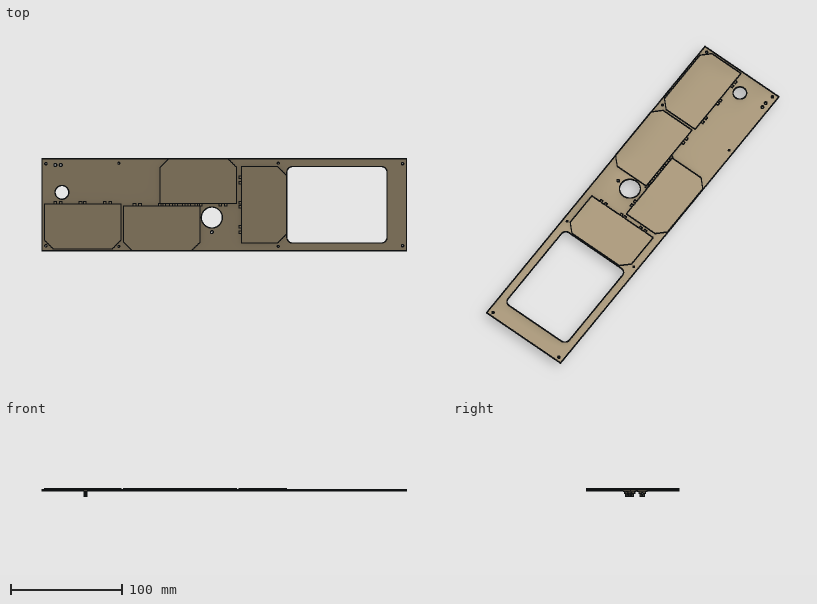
import cadquery as cq

PLATE_LENGTH = 327.5
PLATE_WIDTH = 83.0
PLATE_THICKNESS = 1.3

WINDOW_LENGTH = 89.7
WINDOW_WIDTH = 68.5
WINDOW_CORNER_RADIUS = 5.0
WINDOW_CENTRE_X = 101.2

SMALL_OPENING_DIAMETER = 12.0
SMALL_OPENING_CENTRE = (-145.7, 11.0)
LARGE_OPENING_DIAMETER = 18.7
LARGE_OPENING_CENTRE = (-11.0, -11.5)
CORNER_HOLE_DIAMETER = 2.0
CORNER_HOLE_INSET_X = 3.5
CORNER_HOLE_INSET_Y = 4.5
EDGE_HOLE_DIAMETER = 1.5
EDGE_HOLE_XS = (-94.5, 48.5)
EDGE_HOLE_Y = 37.3
WIRE_HOLE_DIAMETER = 2.4
WIRE_HOLE_XS = (-151.5, -146.7)
WIRE_HOLE_Y = 35.7
INDEX_HOLE_DIAMETER = 2.4
INDEX_HOLE_DROP = 13.0

COVER_LENGTH = 68.8
COVER_WIDTH = 40.3
COVER_THICKNESS = 1.0
COVER_CHAMFER = 8.0
TAB_WIDTH = 2.3
TAB_REACH = 2.13
TAB_THICKNESS = 0.5
TAB_OFFSETS = (2.0, 19.5, 24.5)
COVER_PLACES = (
    (-127.0, 0.5, 0),
    (-56.0, -TAB_REACH / 2, 0),
    (-23.3, TAB_REACH / 2, 180),
    (15.5, 0.0, 90),
)

OVERALL_HEIGHT = 7.2
EYELET_HEIGHT = OVERALL_HEIGHT - PLATE_THICKNESS - COVER_THICKNESS
EYELET_BOTTOM_WIDTH = 4.3
EYELET_THICKNESS = 1.0
EYELET_WIDTH_STEP = 2.0
EYELET_TIER_DEPTHS = (EYELET_HEIGHT, 2.5, 0.5)
EYELET_HOLE_DIAMETER = 1.5
EYELET_HOLE_DEPTH = 2.5
FIRST_EYELET_X = -126.0
EYELET_YS = (-4.3, -1.3, 8.5)


def drill(plate, points, diameter):
    """Cut a through hole at each point of the plate."""
    drills = (
        cq.Workplane("XY").workplane(offset=-PLATE_THICKNESS)
        .pushPoints(points).circle(diameter / 2).extrude(PLATE_THICKNESS)
    )
    return plate.cut(drills)


def make_plate():
    plate = cq.Workplane("XY").box(
        PLATE_LENGTH, PLATE_WIDTH, PLATE_THICKNESS, centered=(True, True, False)
    )
    plate = plate.translate((0, 0, -PLATE_THICKNESS))

    window = (
        cq.Workplane("XY").box(WINDOW_LENGTH, WINDOW_WIDTH, 2 * PLATE_THICKNESS)
        .edges("|Z").fillet(WINDOW_CORNER_RADIUS)
        .translate((WINDOW_CENTRE_X, 0, -PLATE_THICKNESS / 2))
    )
    plate = plate.cut(window)

    corner_x = PLATE_LENGTH / 2 - CORNER_HOLE_INSET_X
    corner_y = PLATE_WIDTH / 2 - CORNER_HOLE_INSET_Y
    corners = [(x, y) for x in (-corner_x, corner_x) for y in (-corner_y, corner_y)]
    edge_points = [(x, y) for x in EDGE_HOLE_XS for y in (-EDGE_HOLE_Y, EDGE_HOLE_Y)]
    wire_points = [(x, WIRE_HOLE_Y) for x in WIRE_HOLE_XS]
    large_x, large_y = LARGE_OPENING_CENTRE
    index_point = (large_x, large_y - INDEX_HOLE_DROP)

    plate = drill(plate, [SMALL_OPENING_CENTRE], SMALL_OPENING_DIAMETER)
    plate = drill(plate, [LARGE_OPENING_CENTRE], LARGE_OPENING_DIAMETER)
    plate = drill(plate, corners, CORNER_HOLE_DIAMETER)
    plate = drill(plate, edge_points, EDGE_HOLE_DIAMETER)
    plate = drill(plate, wire_points, WIRE_HOLE_DIAMETER)
    return drill(plate, [index_point], INDEX_HOLE_DIAMETER)


def make_cover(x, y, turn):
    """Sheet with two cut corners and a row of thin tabs along its opposite edge."""
    sheet = (
        cq.Workplane("XY").box(COVER_LENGTH, COVER_WIDTH, COVER_THICKNESS, centered=(True, True, False))
        .translate((0, -COVER_WIDTH / 2, 0))
        .edges("|Z and <Y").chamfer(COVER_CHAMFER)
    )
    tab_points = [(side * offset, TAB_REACH / 2) for offset in TAB_OFFSETS for side in (-1, 1)]
    tabs = cq.Workplane("XY").pushPoints(tab_points).rect(TAB_WIDTH, TAB_REACH).extrude(TAB_THICKNESS)
    cover = sheet.union(tabs)
    return cover.rotate((0, 0, 0), (0, 0, 1), turn).translate((x, y, 0))


def make_eyelet(x, y):
    """Thin upright lug that widens in steps towards the plate, with a hole across it."""
    lug = cq.Workplane("XY")
    for step, depth in enumerate(EYELET_TIER_DEPTHS):
        width = EYELET_BOTTOM_WIDTH + step * EYELET_WIDTH_STEP
        tier = cq.Workplane("XY").box(EYELET_THICKNESS, width, depth, centered=(False, True, False))
        lug = lug.union(tier.translate((0, 0, -depth)))
    hole = (
        cq.Workplane("YZ").center(0, -EYELET_HOLE_DEPTH)
        .circle(EYELET_HOLE_DIAMETER / 2).extrude(EYELET_THICKNESS)
    )
    return lug.cut(hole).translate((x, y, -PLATE_THICKNESS))


plate = make_plate()
covers = [make_cover(*place) for place in COVER_PLACES]
eyelets = [
    make_eyelet(FIRST_EYELET_X + row * EYELET_THICKNESS, y)
    for row, y in enumerate(EYELET_YS)
]

result = cq.Compound.makeCompound(
    [plate.val(), *[cover.val() for cover in covers], *[eyelet.val() for eyelet in eyelets]]
)